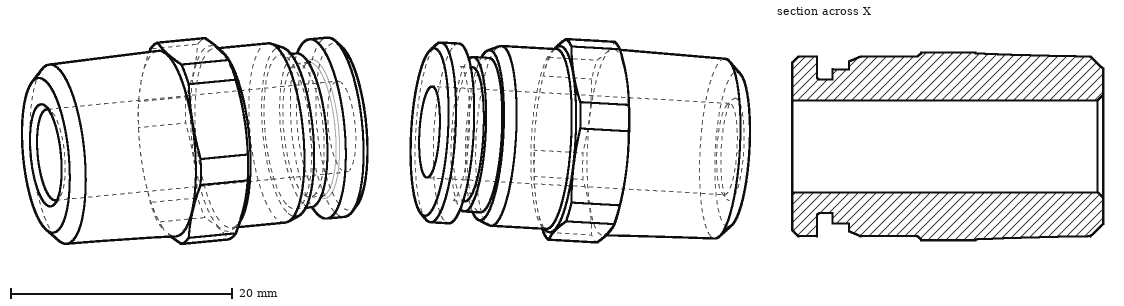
import cadquery as cq
import math

total_length = 28.1

bore_radius = 4.13
bore_mouth_radius = 4.65
bore_chamfer = bore_mouth_radius - bore_radius

thread_face_radius = 7.02
thread_front_radius = 8.15
thread_rear_radius = 8.43
thread_chamfer_end = 1.15

hex_start = 11.52
hex_end = 16.47
hex_across_flats = 17.0
hex_corner_radius = 9.2
hex_bevel_length = 0.22
hex_face_margin = 0.05
hex_face_radius = hex_across_flats / 2 - hex_face_margin

sleeve_radius = 8.15
collar_radius = 8.43
collar_end = 16.8
sleeve_bevel_start = 21.92
sleeve_end = 22.99
sleeve_end_radius = 7.7
step_radius = 7.0
step_end = 24.48
neck_radius = 6.07
neck_fillet = 0.25
fillet_midpoint_offset = neck_fillet * (1 - math.cos(math.pi / 4))
ring_start = 25.85
ring_radius = 8.15
ring_chamfer = 0.55


def revolve_about_axis(profile):
    """Turn a closed (radius, Y) profile about the Y axis."""
    return cq.Workplane("XY").polyline(profile).close().revolve(360, (0, 0, 0), (0, 1, 0))


def turned_body():
    """Thread envelope, sleeve, neck and release ring as one turned shape."""
    return (
        cq.Workplane("XY")
        .polyline([
            (0, 0),
            (thread_face_radius, 0),
            (thread_front_radius, thread_chamfer_end),
            (thread_rear_radius, hex_start),
            (collar_radius, hex_end),
            (sleeve_radius, collar_end),
            (sleeve_radius, sleeve_bevel_start),
            (sleeve_end_radius, sleeve_end),
            (step_radius, sleeve_end),
            (step_radius, step_end),
            (neck_radius, step_end),
            (neck_radius, ring_start - neck_fillet),
        ])
        .threePointArc(
            (neck_radius + fillet_midpoint_offset, ring_start - fillet_midpoint_offset),
            (neck_radius + neck_fillet, ring_start),
        )
        .lineTo(ring_radius, ring_start)
        .lineTo(ring_radius, total_length - ring_chamfer)
        .lineTo(ring_radius - ring_chamfer, total_length)
        .lineTo(0, total_length)
        .close()
        .revolve(360, (0, 0, 0), (0, 1, 0))
    )


def hexagon():
    """Hexagon with flats facing +Z and -Z, its corners turned round and bevelled."""
    prism = (
        cq.Workplane("XZ", origin=(0, hex_start, 0))
        .polygon(6, hex_across_flats / math.cos(math.pi / 6))
        .extrude(hex_start - hex_end)
    )
    corner_envelope = revolve_about_axis([
        (0, hex_start),
        (hex_face_radius, hex_start),
        (hex_corner_radius, hex_start + hex_bevel_length),
        (hex_corner_radius, hex_end - hex_bevel_length),
        (hex_face_radius, hex_end),
        (0, hex_end),
    ])
    return prism.intersect(corner_envelope)


def bore():
    """Through bore with a chamfered mouth at the threaded end."""
    return revolve_about_axis([
        (0, 0),
        (bore_mouth_radius, 0),
        (bore_radius, bore_chamfer),
        (bore_radius, total_length),
        (0, total_length),
    ])


result = turned_body().union(hexagon()).cut(bore())